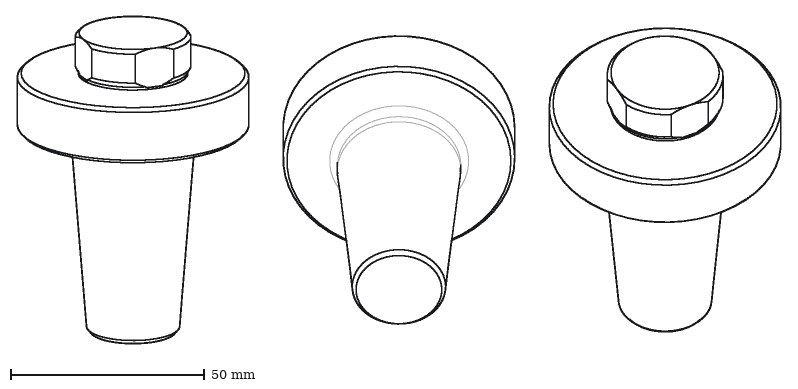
import cadquery as cq

stem_length = 55.0
flange_diameter = 60.0
flange_thickness = 15.0
flange_chamfer = 1.0
collar_diameter = 32.0
collar_length = 4.2
fillet_radius = 2.0
stem_end_diameter = 24.2
stem_tip_diameter = 22.2
stem_tip_chamfer_height = 1.2

head_diameter = 30.0
flat_width = 28.0
cap_height = 11.0
neck_diameter = 28.4
neck_height = 0.75
washer_thickness = 0.5
head_top_chamfer = 1.0
head_bottom_chamfer_height = 1.4

flange_top_z = stem_length + flange_thickness


def make_plug():
    """Flange and tapered stem, revolved about Z."""
    flange_radius = flange_diameter / 2
    collar_radius = collar_diameter / 2
    profile = (
        cq.Workplane("XZ")
        .moveTo(0, 0)
        .lineTo(stem_tip_diameter / 2, 0)
        .lineTo(stem_end_diameter / 2, stem_tip_chamfer_height)
        .lineTo(collar_radius, stem_length - collar_length)
        .lineTo(collar_radius, stem_length - fillet_radius)
        .radiusArc((collar_radius + fillet_radius, stem_length), fillet_radius)
        .lineTo(flange_radius - flange_chamfer, stem_length)
        .lineTo(flange_radius, stem_length + flange_chamfer)
        .lineTo(flange_radius, flange_top_z - flange_chamfer)
        .lineTo(flange_radius - flange_chamfer, flange_top_z)
        .lineTo(0, flange_top_z)
        .close()
    )
    return profile.revolve(360, (0, 0, 0), (0, 1, 0))


def make_cap():
    """Chamfered round head and neck, trimmed to a square of flats above the washer rim."""
    head_radius = head_diameter / 2
    neck_radius = neck_diameter / 2
    round_head = (
        cq.Workplane("XZ", origin=(0, 0, flange_top_z))
        .lineTo(neck_radius, 0)
        .lineTo(neck_radius, neck_height)
        .lineTo(head_radius, neck_height + head_bottom_chamfer_height)
        .lineTo(head_radius, cap_height - head_top_chamfer)
        .lineTo(head_radius - head_top_chamfer, cap_height)
        .lineTo(0, cap_height)
        .close()
        .revolve(360, (0, 0, 0), (0, 1, 0))
    )
    flats_cutter = (
        cq.Workplane("XY", origin=(0, 0, flange_top_z + washer_thickness))
        .rect(flange_diameter, flange_diameter)
        .rect(flat_width, flat_width)
        .extrude(cap_height)
    )
    return round_head.cut(flats_cutter)


plug = make_plug()
cap = make_cap()

result = cq.Compound.makeCompound([plug.val(), cap.val()])